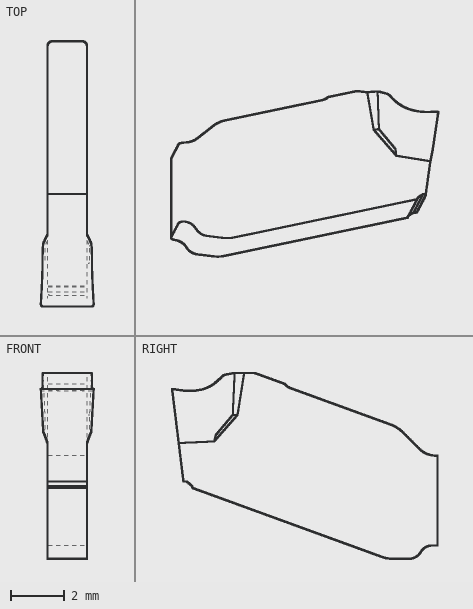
import cadquery as cq
import math


LENGTH = 10.0
HEIGHT = 7.0
BODY_HALF_WIDTH = 0.75

CLAMP_ANGLE = math.radians(20)
CLAMP_SLOPE = math.tan(CLAMP_ANGLE)

EDGE_Z = 6.4
RAKE_SLOPE = math.tan(math.radians(8))
CHIP_WALL_SLOPE = math.tan(math.radians(48))
CHIP_FLOOR = [(0.5, 6.33), (1.16, 6.384)]
CHIP_WALL_END = (1.84, 6.815)
BROW_MIDDLE = (1.92, 6.895)
BROW_END = (2.02, 6.94)
CREST_START = (2.29, 6.99)
TOP_FLAT_START_Y = 2.38
TOP_FLAT_END_Y = 3.10
SHOULDER = (3.16, 6.985)

STEP_TOP_Y = 4.25
STEP_LIP_Y = 4.32
STEP_LIP_DROP = 0.075
STEP_MIDDLE = (4.42, 6.45)
STEP_FOOT = (4.55, 6.40)

UPPER_CLAMP_END_Y = 8.26
RAMP_ANGLE = math.radians(45)
RAMP_BEND_ARC_RUN = 0.18
RAMP_BEND_FLAT_RUN = 0.06
RAMP_END_Y = 9.31
REAR_TOP_Z = 3.89
REAR_TOP_LAND = 0.10
REAR_FOOT_LAND = 0.20
REAR_FOOT_Z = 0.50
HEEL_ARC_ANGLE = math.radians(60)
BOTTOM_FLAT_END_Y = 8.27
BOTTOM_BEND_RADIUS = 1.0

RELIEF_SLOPE = math.tan(math.radians(7))
RELIEF_END_Z = 2.91
NOTCH_FLAT_END_Y = 0.55
NOTCH_MIDDLE = (0.64, 2.84)
NOTCH_CORNER = (0.75, 2.74)
LOWER_CLAMP_START_Y = 0.78

CHEEK_HALF_WIDTH = 1.005
CHEEK_SLOPE = 0.05
CHEEK_UPPER_LEVEL = 5.42
CHEEK_BASE_CORNERS = [(2.72, HEIGHT), (2.47, CHEEK_UPPER_LEVEL), (1.59, 4.42), (0.27, 4.36)]
CHEEK_FACE_CORNERS = [(2.36, HEIGHT), (2.29, CHEEK_UPPER_LEVEL), (1.65, 4.66), (0.22, 4.80)]
CHEEK_OVERRUN_Z = 7.5
CHEEK_OVERRUN_Y = -0.3

FRONT_CORNER_RADIUS = 0.10
REAR_CORNER_RADIUS = 0.20


def point_at_height(start, end, z):
    """Point at height z on the (y, z) line through start and end."""
    part = (z - start[1]) / (end[1] - start[1])
    return (start[0] + part * (end[0] - start[0]), z)


def point_at_depth(start, end, y):
    """Point at depth y on the (y, z) line through start and end."""
    part = (y - start[0]) / (end[0] - start[0])
    return (y, start[1] + part * (end[1] - start[1]))


def side_outline():
    """Closed outline of the insert at its -X limit, starting at the cutting edge."""
    step_top_z = SHOULDER[1] - CLAMP_SLOPE * (STEP_TOP_Y - SHOULDER[0])
    upper_clamp_end_z = STEP_FOOT[1] - CLAMP_SLOPE * (UPPER_CLAMP_END_Y - STEP_FOOT[0])

    bend_mean_angle = (CLAMP_ANGLE + RAMP_ANGLE) / 2
    bend_points = [(UPPER_CLAMP_END_Y, upper_clamp_end_z)]
    for run, angle in [
        (RAMP_BEND_ARC_RUN, (CLAMP_ANGLE + bend_mean_angle) / 2),
        (RAMP_BEND_FLAT_RUN, bend_mean_angle),
        (RAMP_BEND_ARC_RUN, (bend_mean_angle + RAMP_ANGLE) / 2),
    ]:
        last_y, last_z = bend_points[-1]
        bend_points.append((last_y + run, last_z - run * math.tan(angle)))
    upper_clamp_end, bend_flat_start, bend_flat_end, ramp_start = bend_points
    ramp_end_z = ramp_start[1] - math.tan(RAMP_ANGLE) * (RAMP_END_Y - ramp_start[0])

    heel_arc_radius = REAR_FOOT_Z / (2 * (1 - math.cos(HEEL_ARC_ANGLE)))
    heel_arc_run = heel_arc_radius * math.sin(HEEL_ARC_ANGLE)
    heel_start_y = LENGTH - REAR_FOOT_LAND
    heel_end_y = heel_start_y - 2 * heel_arc_run

    bend_end_y = BOTTOM_FLAT_END_Y - BOTTOM_BEND_RADIUS * math.sin(CLAMP_ANGLE)
    bend_end_z = BOTTOM_BEND_RADIUS * (1 - math.cos(CLAMP_ANGLE))
    lower_clamp_start_z = bend_end_z + CLAMP_SLOPE * (bend_end_y - LOWER_CLAMP_START_Y)
    relief_end_y = RELIEF_SLOPE * (EDGE_Z - RELIEF_END_Z)

    return (
        cq.Workplane("YZ", origin=(-CHEEK_HALF_WIDTH, 0, 0))
        .moveTo(0, EDGE_Z)
        .spline(
            CHIP_FLOOR + [CHIP_WALL_END],
            tangents=[(1, -RAKE_SLOPE), (1, CHIP_WALL_SLOPE)],
            includeCurrent=True,
        )
        .threePointArc(BROW_MIDDLE, BROW_END)
        .lineTo(*CREST_START)
        .lineTo(TOP_FLAT_START_Y, HEIGHT)
        .lineTo(TOP_FLAT_END_Y, HEIGHT)
        .lineTo(*SHOULDER)
        .lineTo(STEP_TOP_Y, step_top_z)
        .lineTo(STEP_LIP_Y, step_top_z - STEP_LIP_DROP)
        .threePointArc(STEP_MIDDLE, STEP_FOOT)
        .lineTo(*upper_clamp_end)
        .tangentArcPoint(bend_flat_start, relative=False)
        .lineTo(*bend_flat_end)
        .tangentArcPoint(ramp_start, relative=False)
        .lineTo(RAMP_END_Y, ramp_end_z)
        .tangentArcPoint((LENGTH - REAR_TOP_LAND, REAR_TOP_Z), relative=False)
        .lineTo(LENGTH, REAR_TOP_Z)
        .lineTo(LENGTH, REAR_FOOT_Z)
        .lineTo(heel_start_y, REAR_FOOT_Z)
        .tangentArcPoint((heel_start_y - heel_arc_run, REAR_FOOT_Z / 2), relative=False)
        .tangentArcPoint((heel_end_y, 0), relative=False)
        .lineTo(BOTTOM_FLAT_END_Y, 0)
        .tangentArcPoint((bend_end_y, bend_end_z), relative=False)
        .lineTo(LOWER_CLAMP_START_Y, lower_clamp_start_z)
        .lineTo(*NOTCH_CORNER)
        .threePointArc(NOTCH_MIDDLE, (NOTCH_FLAT_END_Y, RELIEF_END_Z))
        .lineTo(relief_end_y, RELIEF_END_Z)
        .close()
    )


def cheek_border(top, bend, low, front):
    """Border of a cheek in (y, z), with both ends carried past the outline."""
    return [
        point_at_height(top, bend, CHEEK_OVERRUN_Z),
        bend,
        low,
        point_at_depth(low, front, CHEEK_OVERRUN_Y),
        (CHEEK_OVERRUN_Y, CHEEK_OVERRUN_Z),
    ]


def cheek():
    """Raised cheek on the +X side: sloped walls rising from the blade to a tapered face."""
    base_border = cheek_border(*CHEEK_BASE_CORNERS)
    face_border = cheek_border(*CHEEK_FACE_CORNERS)
    base_points = [cq.Vector(BODY_HALF_WIDTH, y, z) for y, z in base_border]
    face_points = [
        cq.Vector(CHEEK_HALF_WIDTH - CHEEK_SLOPE * (y + EDGE_Z - z), y, z) for y, z in face_border
    ]
    base_wire = cq.Wire.makePolygon(base_points, close=True)
    face_wire = cq.Wire.makePolygon(face_points, close=True)
    return cq.Workplane(cq.Solid.makeLoft([base_wire, face_wire], True))


def width_envelope():
    """Region that limits the width: the flat blade plus a cheek on each side."""
    slab = cq.Workplane("XY", origin=(0, LENGTH / 2, HEIGHT / 2)).box(
        2 * BODY_HALF_WIDTH, 2 * LENGTH, 2 * HEIGHT
    )
    right_cheek = cheek()
    return slab.union(right_cheek).union(right_cheek.mirror("YZ"))


def build_insert():
    """Trim the extruded outline to the width envelope, then round the upright corners."""
    insert = side_outline().extrude(2 * CHEEK_HALF_WIDTH).intersect(width_envelope())
    relief_corners = insert.faces("<Y").edges("not |X")
    insert = relief_corners.fillet(FRONT_CORNER_RADIUS)
    return insert.faces(">Y").edges("|Z").fillet(REAR_CORNER_RADIUS)


result = build_insert()